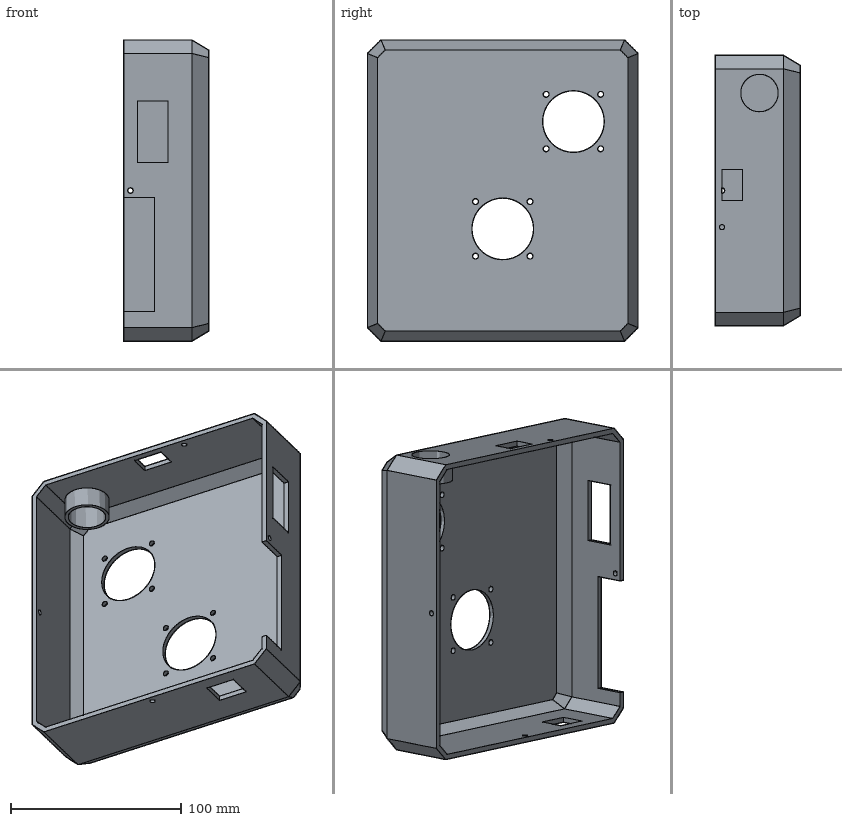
import cadquery as cq
import math

depth = 50.0
width = 159.0
height = 177.0
wall = 3.0
corner_leg = 8.0
bevel_depth = 10.0
bevel_inset = 6.0
overlap = 1.0

fan_centres = [(0.0, -22.5), (41.5, 40.5)]
fan_diameter = 36.0
fan_screw_spacing = 32.0
fan_screw_diameter = 3.3

tube_x = 26.0
tube_y = width / 2 - 22.25
tube_outer_diameter = 26.0
tube_bore_diameter = 22.0
tube_length = 15.0

lid_screw_diameter = 3.0
lid_screw_x = 4.0
top_screw_y = -21.5

top_window_x = (4.0, 16.0)
top_window_y = (-5.75, 12.25)
bottom_window_x = (8.0, 23.0)
bottom_window_y = (-52.5, -34.5)
side_window_x = (8.0, 26.0)
side_window_z = (16.5, 52.5)
side_notch_x = (-overlap, 18.0)
side_notch_z = (-71.0, -4.0)

front_wall_y = (-width / 2 - overlap, -width / 2 + wall + overlap)
back_wall_y = (width / 2 - wall - overlap, width / 2 + overlap)
bottom_wall_z = (-height / 2 - overlap, -height / 2 + wall + overlap)
top_wall_z = (height / 2 - wall - overlap, height / 2 + overlap)


def cut_corner_outline(inset):
    """Corner points (Y, Z) of the cut-cornered box outline, moved inwards by inset."""
    y = width / 2 - inset
    z = height / 2 - inset
    leg = corner_leg - inset * (2 - math.sqrt(2))
    return [
        (y, z - leg),
        (y - leg, z),
        (leg - y, z),
        (-y, z - leg),
        (-y, leg - z),
        (leg - y, -z),
        (y - leg, -z),
        (y, leg - z),
    ]


def bevelled_block(inset, x_start, x_bevel, x_end, end_inset):
    """Straight block from x_start to x_bevel, then sloping in to end_inset at x_end."""
    straight = (
        cq.Workplane("YZ", origin=(x_start, 0, 0))
        .polyline(cut_corner_outline(inset))
        .close()
        .extrude(x_bevel - x_start)
    )
    sloped = (
        cq.Workplane("YZ", origin=(x_bevel, 0, 0))
        .polyline(cut_corner_outline(inset))
        .close()
        .workplane(offset=x_end - x_bevel)
        .polyline(cut_corner_outline(end_inset))
        .close()
        .loft(ruled=True)
    )
    return straight.union(sloped)


def make_shell():
    """Hollow box whose wall is equally thick on the sides, the slope and the end."""
    slope = bevel_inset / bevel_depth
    bevel_start = depth - bevel_depth
    slope_wall = wall * math.hypot(1, slope)
    inner_end = depth - wall
    inner_bevel_start = bevel_start - (slope_wall - wall) / slope
    inner_end_inset = slope_wall + slope * (inner_end - bevel_start)
    outer = bevelled_block(0, 0, bevel_start, depth, bevel_inset)
    cavity = bevelled_block(wall, -overlap, inner_bevel_start, inner_end, inner_end_inset)
    return outer.cut(cavity)


def box_between(x_limits, y_limits, z_limits):
    """Box filling the given (low, high) limits."""
    sizes = [high - low for low, high in (x_limits, y_limits, z_limits)]
    low_corner = (x_limits[0], y_limits[0], z_limits[0])
    return cq.Workplane("XY", origin=low_corner).box(*sizes, centered=False)


def upright_cylinder(x, y, z_limits, diameter):
    """Cylinder along Z filling the given (low, high) limits."""
    return (
        cq.Workplane("XY", origin=(x, y, z_limits[0]))
        .circle(diameter / 2)
        .extrude(z_limits[1] - z_limits[0])
    )


def add_tube(body):
    """Tube under the top wall, bored through from the outside."""
    tube_end_z = height / 2 - tube_length
    sleeve = upright_cylinder(tube_x, tube_y, (tube_end_z, height / 2), tube_outer_diameter)
    bore_limits = (tube_end_z - overlap, height / 2 + overlap)
    bore = upright_cylinder(tube_x, tube_y, bore_limits, tube_bore_diameter)
    return body.union(sleeve).cut(bore)


def cut_fan_openings(body):
    """Round air openings in the closed end, each with four screw holes."""
    end_plane = cq.Workplane("YZ", origin=(depth - wall - overlap, 0, 0))
    cut_length = wall + 2 * overlap
    for centre in fan_centres:
        fan_plane = end_plane.center(*centre)
        opening = fan_plane.circle(fan_diameter / 2).extrude(cut_length)
        screws = (
            fan_plane.rect(fan_screw_spacing, fan_screw_spacing, forConstruction=True)
            .vertices()
            .circle(fan_screw_diameter / 2)
            .extrude(cut_length)
        )
        body = body.cut(opening).cut(screws)
    return body


def cut_windows(body):
    """Rectangular openings in the top, bottom and -Y walls, and the notch in the rim."""
    body = body.cut(box_between(top_window_x, top_window_y, top_wall_z))
    body = body.cut(box_between(bottom_window_x, bottom_window_y, bottom_wall_z))
    body = body.cut(box_between(side_window_x, front_wall_y, side_window_z))
    return body.cut(box_between(side_notch_x, front_wall_y, side_notch_z))


def cut_lid_screws(body):
    """One screw hole through each of the four side walls."""
    body = body.cut(upright_cylinder(lid_screw_x, top_screw_y, top_wall_z, lid_screw_diameter))
    body = body.cut(upright_cylinder(lid_screw_x, 0, bottom_wall_z, lid_screw_diameter))
    for low, high in (front_wall_y, back_wall_y):
        hole = (
            cq.Workplane("XZ", origin=(lid_screw_x, low, 0))
            .circle(lid_screw_diameter / 2)
            .extrude(low - high)
        )
        body = body.cut(hole)
    return body


result = cut_lid_screws(cut_windows(cut_fan_openings(add_tube(make_shell()))))